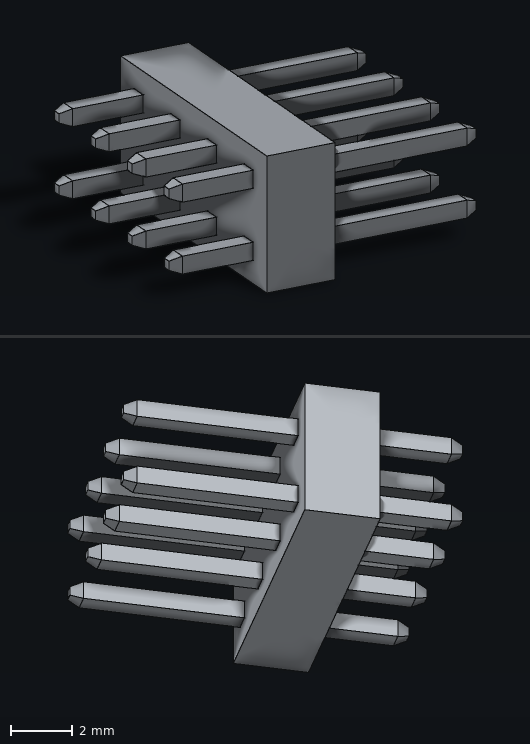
import cadquery as cq

COLUMNS = 4
ROWS = 2

HOUSING_WIDTH = 10.16
PITCH = HOUSING_WIDTH / COLUMNS
HOUSING_DEPTH = PITCH
HOUSING_HEIGHT = 4.83

PIN_LENGTH = 11.43
PIN_SIDE = 0.64
TIP_SIDE = 0.33
TIP_LENGTH = 0.42
BACK_REACH = 5.84

PIN_BACK_Y = HOUSING_DEPTH / 2 + BACK_REACH

PIN_CENTRES = [
    ((column - (COLUMNS - 1) / 2) * PITCH, (row - (ROWS - 1) / 2) * PITCH)
    for row in range(ROWS)
    for column in range(COLUMNS)
]


def make_housing():
    """Block centred on the origin, with a square through hole for each pin."""
    block = cq.Workplane("XY").box(HOUSING_WIDTH, HOUSING_DEPTH, HOUSING_HEIGHT)
    for x, z in PIN_CENTRES:
        hole = cq.Workplane("XY").box(PIN_SIDE, HOUSING_DEPTH, PIN_SIDE)
        block = block.cut(hole.translate((x, 0, z)))
    return block


def make_tip(base_y, end_y):
    """Tapered pin end, from the full pin section at base_y to the small tip at end_y."""
    return (
        cq.Workplane("XZ", origin=(0, base_y, 0))
        .rect(PIN_SIDE, PIN_SIDE)
        .workplane(offset=base_y - end_y)
        .rect(TIP_SIDE, TIP_SIDE)
        .loft(ruled=True)
    )


def make_pin(x, z):
    """Square pin through the housing at (x, z), tapered at both ends."""
    back_y = PIN_BACK_Y
    front_y = back_y - PIN_LENGTH
    shaft_front_y = front_y + TIP_LENGTH
    shaft_back_y = back_y - TIP_LENGTH
    shaft_length = shaft_back_y - shaft_front_y
    shaft_centre_y = (shaft_front_y + shaft_back_y) / 2
    shaft = cq.Workplane("XY").box(PIN_SIDE, shaft_length, PIN_SIDE).translate((0, shaft_centre_y, 0))
    pin = shaft.union(make_tip(shaft_front_y, front_y)).union(make_tip(shaft_back_y, back_y))
    return pin.translate((x, 0, z))


housing = make_housing()
pins = [make_pin(x, z) for x, z in PIN_CENTRES]

result = cq.Compound.makeCompound([housing.val(), *[pin.val() for pin in pins]])